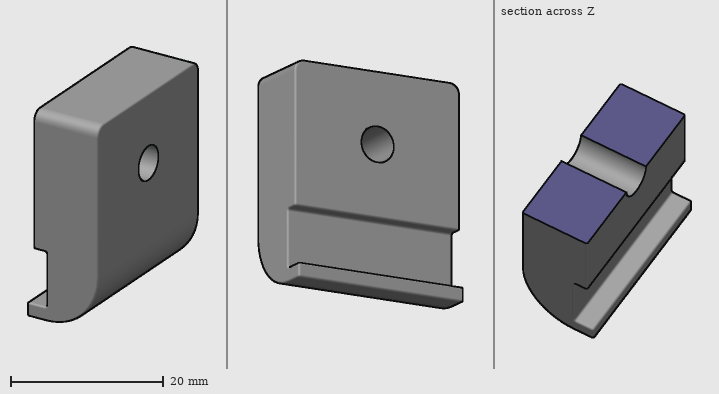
import cadquery as cq
import math

depth = 11.0
width = 25.0
height = 30.0

block_front = 1.0
notch_wall = 3.0
lip_height = 2.0
notch_top = 10.0
heel_radius = 8.0

corner_radius = 1.5
edge_radius = 0.3
hole_diameter = 4.92
hole_height = 20.0


def make_profile_body():
    """Hooked side profile extruded across the width, centred on Y = 0."""
    heel_center_x = depth - heel_radius
    arc_reach = heel_radius * math.sqrt(0.5)
    return (
        cq.Workplane("XZ")
        .lineTo(heel_center_x, 0)
        .threePointArc(
            (heel_center_x + arc_reach, heel_radius - arc_reach),
            (depth, heel_radius),
        )
        .lineTo(depth, height)
        .lineTo(block_front, height)
        .lineTo(block_front, notch_top)
        .lineTo(notch_wall, notch_top)
        .lineTo(notch_wall, lip_height)
        .lineTo(0, lip_height)
        .close()
        .extrude(width / 2, both=True)
    )


def round_edges(body):
    """Round the top corners first, then the notch corners, then all outer edges."""
    body = body.faces(">Z").edges("|X").fillet(corner_radius)

    notch_corners = cq.selectors.BoxSelector(
        (notch_wall - edge_radius, -width, lip_height - edge_radius),
        (notch_wall + edge_radius, width, notch_top + edge_radius),
    )
    body = body.edges("|Y").edges(notch_corners).fillet(edge_radius)

    side_outlines = body.faces("<Y or >Y").edges()
    front_edges = body.faces("<X").edges("|Y")
    block_edges = body.faces(cq.selectors.BoxSelector(
        (block_front - edge_radius, -width, notch_top),
        (block_front + edge_radius, width, height),
    )).edges()
    rear_edges = body.faces(">X").edges("not(<Z)")
    outer_edges = side_outlines.add(front_edges).add(block_edges).add(rear_edges)
    return outer_edges.fillet(edge_radius)


def make_hole():
    """Cylinder along X that passes through the whole depth."""
    return (
        cq.Workplane("YZ")
        .center(0, hole_height)
        .circle(hole_diameter / 2)
        .extrude(depth)
    )


result = round_edges(make_profile_body()).cut(make_hole())